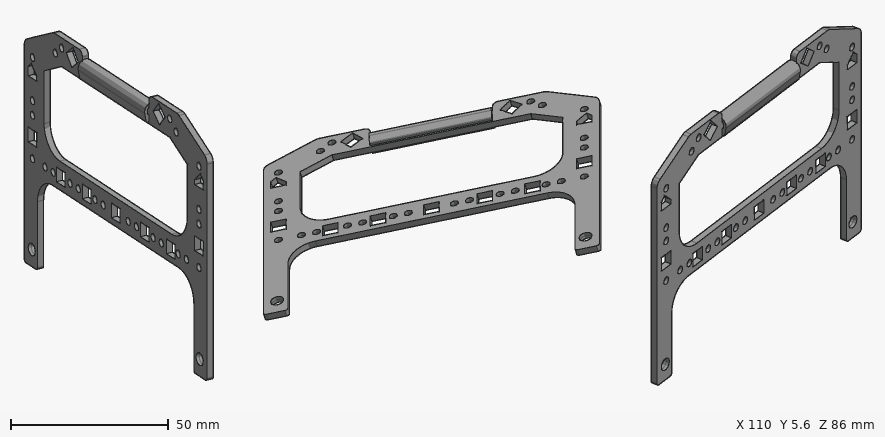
import cadquery as cq
import math

width = 110.0
height = 86.0
plate_thickness = 2.3
half_width = width / 2

shoulder_run = 17.6
shoulder_drop = 9.0
shoulder_radius = 3.0
leg_width = 8.0
foot_radius = 1.0

side_width = 12.0
top_rail = 10.0
window_drop = 43.1
window_slope_run = 10.5
window_slope_drop = 5.4
window_radius = 9.5
cross_rail = 10.0
leg_root_radius = 9.0

grip_length = 40.0
ear_radius = 2.0

grip_radius = 2.8
grip_bore_radius = 1.8
grip_center_drop = 5.6
skirt_bottom_drop = 9.4
skirt_taper = 10.0
skirt_edge_radius = 0.3

pin_diameter = 2.5
square_side = 5.1
rail_row_drop = 48.5
pair_spacing = 5.0
pair_offsets = (-pair_spacing / 2, pair_spacing / 2)
pair_centers = [10.0, 25.0, 40.0]
rail_square_places = [17.5, 33.1]
side_row_x = 50.0
side_pin_drops = [13.4, 28.4, 33.4, rail_row_drop]
side_square_drop = 41.0

ear_angle = 40.0
ear_pin_x = 34.4
ear_pin_drop = 5.2
ear_square_x = 26.1
ear_square_drop = 4.4

gable_base_drop = 20.7
gable_apex_drop = 15.7
gable_apex_offset = 0.8

foot_hole_diameter = 4.2
foot_hole_x = 50.5
foot_hole_z = 5.9


def z_at(drop):
    """Height of a point lying the given distance below the top edge."""
    return height - drop


def mirrored(points):
    """Close a left half outline with its mirror image about X = 0."""
    return points + [(-x, z) for x, z in reversed(points)]


def extrude_outline(points):
    """Extrude an (x, z) outline through the thickness of the plate."""
    return (
        cq.Workplane("XZ")
        .polyline(points)
        .close()
        .extrude(plate_thickness / 2, both=True)
    )


def round_corners(body, corners, radius):
    """Round the edges along Y that pass through the given (x, z) corners and their mirrors."""
    for x, z in corners:
        for side in (-1, 1):
            edge = cq.selectors.NearestToPointSelector((side * x, 0, z))
            body = body.edges("|Y").edges(edge).fillet(radius)
    return body


def make_frame():
    """Plate with its legs, ears and main window, before the small holes."""
    leg_inside = half_width - leg_width
    crotch_z = z_at(window_drop + cross_rail)
    notch_z = z_at(grip_center_drop - (grip_radius + grip_bore_radius) / 2)
    shoulder_low = (-half_width, z_at(shoulder_drop))
    shoulder_high = (shoulder_run - half_width, height)
    ear_corner = (-grip_length / 2, height)
    leg_root = (-leg_inside, crotch_z)
    foot_inner = (-leg_inside, 0)
    foot_outer = (-half_width, 0)
    outline = [
        leg_root,
        foot_inner,
        foot_outer,
        shoulder_low,
        shoulder_high,
        ear_corner,
        (-grip_length / 2, notch_z),
    ]
    body = extrude_outline(mirrored(outline))
    body = round_corners(body, [shoulder_low, shoulder_high], shoulder_radius)
    body = round_corners(body, [foot_inner, foot_outer], foot_radius)
    body = round_corners(body, [ear_corner], ear_radius)
    body = round_corners(body, [leg_root], leg_root_radius)
    return body.cut(make_window())


def make_window():
    """Tool for the large window, with sloped top corners and rounded bottom corners."""
    side_x = half_width - side_width
    bottom_corner = (-side_x, z_at(window_drop))
    outline = [
        bottom_corner,
        (-side_x, z_at(top_rail + window_slope_drop)),
        (window_slope_run - side_x, z_at(top_rail)),
    ]
    window = extrude_outline(mirrored(outline))
    return round_corners(window, [bottom_corner], window_radius)


def drill(body, points, diameter):
    tool = (
        cq.Workplane("XZ")
        .pushPoints(points)
        .circle(diameter / 2)
        .extrude(plate_thickness, both=True)
    )
    return body.cut(tool)


def cut_square(body, x, z, angle=0.0):
    tool = (
        cq.Workplane("XZ")
        .center(x, z)
        .transformed(rotate=(0, 0, angle))
        .rect(square_side, square_side)
        .extrude(plate_thickness, both=True)
    )
    return body.cut(tool)


def cut_gable(body, side):
    """Square window whose top is cut to a point by two 45 degree slopes."""
    outer_x = side_row_x + square_side / 2
    inner_x = side_row_x - square_side / 2
    apex_x = side_row_x + gable_apex_offset
    apex_z = z_at(gable_apex_drop)
    bottom_z = z_at(gable_base_drop)
    outline = [
        (outer_x, bottom_z),
        (outer_x, apex_z - (outer_x - apex_x)),
        (apex_x, apex_z),
        (inner_x, apex_z - (apex_x - inner_x)),
        (inner_x, bottom_z),
    ]
    return body.cut(extrude_outline([(side * x, z) for x, z in outline]))


def cut_side_holes(body, side):
    """All holes of one half of the frame; side is -1 for left and 1 for right."""
    rail_z = z_at(rail_row_drop)
    pins = [(side * side_row_x, z_at(drop)) for drop in side_pin_drops]
    for center in pair_centers:
        for offset in pair_offsets:
            pins.append((side * (center + offset), rail_z))
    turn = math.radians(ear_angle)
    for offset in pair_offsets:
        x = ear_pin_x + offset * math.cos(turn)
        pins.append((side * x, z_at(ear_pin_drop + offset * math.sin(turn))))
    body = drill(body, pins, pin_diameter)
    body = drill(body, [(side * foot_hole_x, foot_hole_z)], foot_hole_diameter)
    for x in rail_square_places:
        body = cut_square(body, side * x, rail_z)
    body = cut_square(body, side * side_row_x, z_at(side_square_drop))
    body = cut_square(body, side * ear_square_x, z_at(ear_square_drop), -side * ear_angle)
    return cut_gable(body, side)


def make_grip():
    """Hollow grip along X; the skirts leave the round top along its tangents."""
    taper = math.radians(skirt_taper)
    center_z = z_at(grip_center_drop)
    bottom_z = z_at(skirt_bottom_drop)
    tangent_y = grip_radius * math.cos(taper)
    tangent_z = center_z - grip_radius * math.sin(taper)
    bottom_y = tangent_y - (tangent_z - bottom_z) * math.tan(taper)
    section_plane = cq.Workplane("YZ")
    grip = (
        section_plane
        .moveTo(-bottom_y, bottom_z)
        .lineTo(-tangent_y, tangent_z)
        .threePointArc((0, center_z + grip_radius), (tangent_y, tangent_z))
        .lineTo(bottom_y, bottom_z)
        .close()
        .extrude(grip_length / 2, both=True)
        .faces("<Z").edges("|X").fillet(skirt_edge_radius)
    )
    bore = (
        section_plane
        .center(0, center_z)
        .circle(grip_bore_radius)
        .extrude(grip_length / 2, both=True)
    )
    return grip.cut(bore)


frame = make_frame()
for side in (-1, 1):
    frame = cut_side_holes(frame, side)
frame = cut_square(frame, 0, z_at(rail_row_drop))
result = frame.union(make_grip())